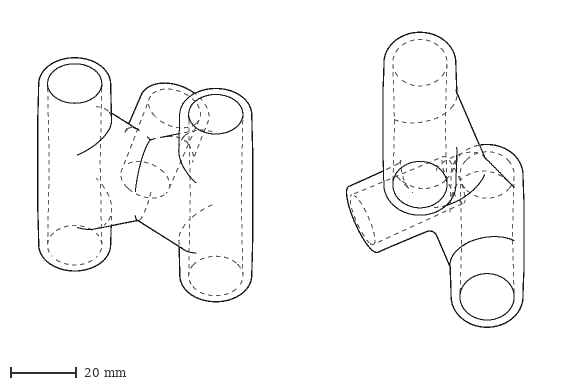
import cadquery as cq
import math

height = 72.0
column_spacing = 44.9
body_radius = 11.3
tip_radius = 11.0
column_spigot = 16.0
branch_reach = 31.2
mouth_radius = 8.3
waist_radius = 7.8
rim_round = 0.3
notch_angle = 30.0
web_round = 10.95
branch_fillet = 2.7

column_x = column_spacing / 2
half_height = height / 2
body_half_height = half_height - column_spigot
notch_slope = math.tan(math.radians(notch_angle))
notch_apex_z = body_half_height - (column_x - body_radius) * notch_slope
web_end_z = notch_apex_z + column_x * notch_slope
branch_draft = (body_radius - tip_radius) / (branch_reach - body_radius)
branch_root_radius = tip_radius + branch_draft * branch_reach

branch_plane = cq.Plane(origin=(0, 0, 0), xDir=(0, 0, 1), normal=(0, 1, 0))


def column_plane(side, end):
    """Plane across the column on the given X side, facing its upper or lower end."""
    return cq.Plane(origin=(side * column_x, 0, 0), xDir=(-1, 0, 0), normal=(0, 0, end))


def turned(plane, profile):
    """Revolve a (radius, distance) profile about the plane's normal."""
    section = cq.Plane(origin=plane.origin, xDir=plane.xDir, normal=-plane.yDir)
    return cq.Workplane(section).polyline(profile).close().revolve(360, (0, 0), (0, 1))


def drafted_bore(plane, reach):
    """Cutter that narrows from the mouth at the given reach down to the plane."""
    return turned(plane, [(0, 0), (waist_radius, 0), (mouth_radius, reach), (0, reach)])


def column(side):
    """Solid column with a drafted, round-rimmed spigot at both ends."""
    profile = [
        (0, -half_height),
        (tip_radius, -half_height),
        (body_radius, -body_half_height),
        (body_radius, body_half_height),
        (tip_radius, half_height),
        (0, half_height),
    ]
    return turned(column_plane(side, 1), profile).faces("<Z or >Z").edges().fillet(rim_round)


def branch():
    """Solid drafted branch along +Y with a rounded rim."""
    profile = [(0, 0), (branch_root_radius, 0), (tip_radius, branch_reach), (0, branch_reach)]
    return turned(branch_plane, profile).faces(">Y").edges().fillet(rim_round)


def web():
    """Plate between the columns with a V-notch above and below and rounded notch edges."""
    outline = [
        (-column_x, -web_end_z),
        (0, -notch_apex_z),
        (column_x, -web_end_z),
        (column_x, web_end_z),
        (0, notch_apex_z),
        (-column_x, web_end_z),
    ]
    plate = cq.Workplane("XZ").polyline(outline).close().extrude(body_radius, both=True)
    return plate.faces("<Y or >Y").edges("not |Z").fillet(web_round)


def web_with_branch():
    """Web and branch joined, with a blend all around the foot of the branch."""
    joined = web().union(branch())
    margin = 0.35
    around = branch_root_radius + margin
    foot = cq.selectors.BoxSelector(
        (-around, margin, -around),
        (around, body_radius + margin, around),
        boundingbox=True,
    )
    return joined.edges(foot).fillet(branch_fillet)


result = web_with_branch()
for side in (-1, 1):
    result = result.union(column(side))
for side in (-1, 1):
    for end in (-1, 1):
        result = result.cut(drafted_bore(column_plane(side, end), half_height))
result = result.cut(drafted_bore(branch_plane, branch_reach))